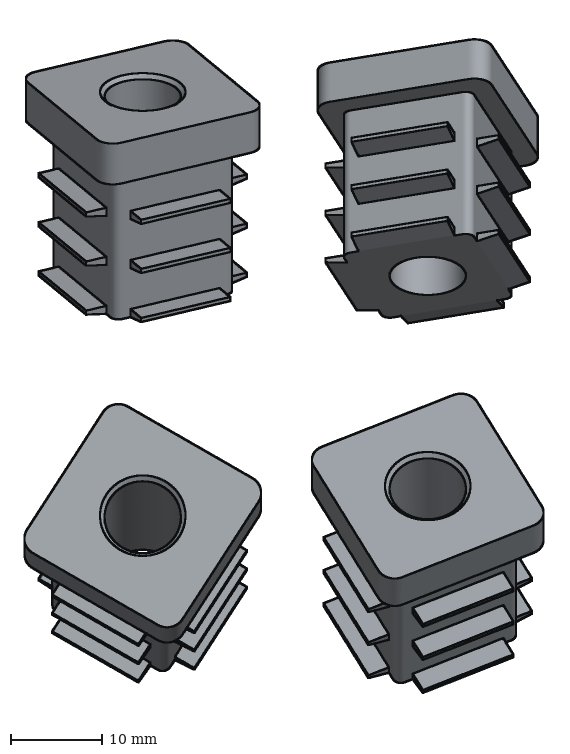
import cadquery as cq

total_height = 23.0
head_side = 20.0
head_height = 5.0
head_corner_radius = 2.0

plug_side = 15.0
plug_corner_radius = 1.0
plug_height = total_height - head_height

bore_diameter = 8.37
bore_chamfer = 0.5

rib_width = 11.09
rib_root_height = 1.0
rib_tip_height = 0.5
rib_pitch = 6.0
rib_levels = 3
rib_overlap = 0.23


def rounded_block(side, height, corner_radius, base_z):
    """Square block standing on base_z with rounded vertical edges."""
    block = cq.Workplane("XY", origin=(0, 0, base_z)).rect(side, side).extrude(height)
    return block.edges("|Z").fillet(corner_radius)


def rib(base_z):
    """Tapered rib on the +X wall of the plug, reaching out to the head's side."""
    wall_x = plug_side / 2
    tip_x = head_side / 2
    inner_x = wall_x - rib_overlap
    top_z = base_z + rib_root_height
    profile = [
        (inner_x, base_z),
        (wall_x, base_z),
        (tip_x, top_z - rib_tip_height),
        (tip_x, top_z),
        (inner_x, top_z),
    ]
    return cq.Workplane("XZ").polyline(profile).close().extrude(rib_width / 2, both=True)


plug = rounded_block(plug_side, plug_height, plug_corner_radius, 0)
head = rounded_block(head_side, head_height, head_corner_radius, plug_height)
result = plug.union(head)

for level in range(rib_levels):
    level_rib = rib(level * rib_pitch)
    for angle in (0, 90, 180, 270):
        result = result.union(level_rib.rotate((0, 0, 0), (0, 0, 1), angle))

result = result.faces(">Z").workplane(origin=(0, 0, 0)).circle(bore_diameter / 2).cutThruAll()
result = result.faces(">Z").edges("%CIRCLE").edges(cq.selectors.RadiusNthSelector(-1)).chamfer(bore_chamfer)